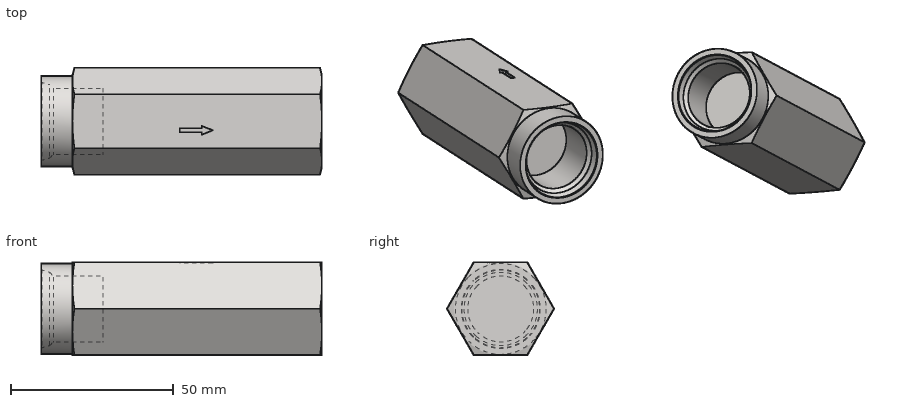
import cadquery as cq
import math

overall_length = 86.36
across_flats = 28.575
across_corners = across_flats / math.cos(math.pi / 6)

collar_diameter = 27.94
collar_length = 9.65
hex_length = overall_length - collar_length

chamfer_angle = math.radians(15)
chamfer_start_diameter = 28.55
chamfer_reach = (across_corners - chamfer_start_diameter) / 2
chamfer_length = chamfer_reach * math.tan(chamfer_angle)

bore_diameter = 20.27
bore_depth = 19.0
mouth_diameter = 24.3
seat_top_diameter = 23.9
seat_floor_diameter = 22.57
lead_in_depth = (mouth_diameter - seat_top_diameter) / 2
seat_depth = 2.54
step_length = (seat_floor_diameter - bore_diameter) / 2

arrow_tail_x = 42.7
arrow_shoulder_x = 49.4
arrow_tip_x = 52.8
arrow_y = -2.8
arrow_shaft_half_width = 0.6
arrow_head_half_width = 1.35
engraving_depth = 0.1


def revolve_about_x(profile):
    """Turn a closed (x, radius) outline about the X axis."""
    return cq.Workplane("XY").polyline(profile).close().revolve(360, (0, 0, 0), (1, 0, 0))


def hexagon_body():
    """Hexagonal bar with flats up and down and turned corners at both ends."""
    bar = cq.Workplane("YZ", origin=(collar_length, 0, 0)).polygon(6, across_corners).extrude(hex_length)
    corner_radius = across_corners / 2
    start_radius = chamfer_start_diameter / 2
    turned_envelope = revolve_about_x([
        (collar_length, 0),
        (collar_length, start_radius),
        (collar_length + chamfer_length, corner_radius),
        (overall_length - chamfer_length, corner_radius),
        (overall_length, start_radius),
        (overall_length, 0),
    ])
    return bar.intersect(turned_envelope)


def collar():
    """Round collar that carries the port."""
    return cq.Workplane("YZ").circle(collar_diameter / 2).extrude(collar_length)


def port():
    """Cutter for the blind port."""
    return revolve_about_x([
        (0, 0),
        (0, mouth_diameter / 2),
        (lead_in_depth, seat_top_diameter / 2),
        (seat_depth, seat_floor_diameter / 2),
        (seat_depth + step_length, bore_diameter / 2),
        (bore_depth, bore_diameter / 2),
        (bore_depth, 0),
    ])


def flow_arrow():
    """Cutter for the arrow that points from the port along +X."""
    floor_z = across_flats / 2 - engraving_depth
    return (
        cq.Workplane("XY", origin=(0, arrow_y, floor_z))
        .polyline([
            (arrow_tail_x, -arrow_shaft_half_width),
            (arrow_shoulder_x, -arrow_shaft_half_width),
            (arrow_shoulder_x, -arrow_head_half_width),
            (arrow_tip_x, 0),
            (arrow_shoulder_x, arrow_head_half_width),
            (arrow_shoulder_x, arrow_shaft_half_width),
            (arrow_tail_x, arrow_shaft_half_width),
        ])
        .close()
        .extrude(engraving_depth)
    )


result = hexagon_body().union(collar()).cut(port()).cut(flow_arrow())